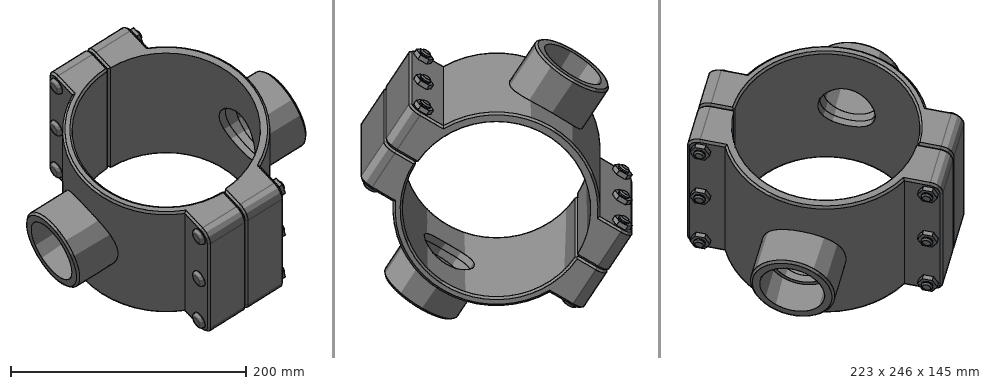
import cadquery as cq
import math

clamp_height = 145.0
bore_radius = 80.0
shell_radius = 88.0
edge_chamfer = 2.0

flange_width = 223.0
flange_depth = 40.3
flange_corner_radius = 11.0

branch_reach = 123.0
branch_diameter = 73.5
socket_diameter = 56.5
port_diameter = 50.0
socket_floor = 93.5
seat_depth = 1.7
seat_radius = shell_radius - seat_depth

bolt_x = 99.5
bolt_row_pitch = 60.8
head_diameter = 15.0
head_height = 3.7
head_rounding = 3.0
bolt_diameter = 10.0
bolt_end_height = 7.1
bolt_end_chamfer = 1.5
nut_across_flats = 15.0
nut_across_corners = nut_across_flats / math.cos(math.radians(30))
nut_height = 4.5


def plane_facing_out(distance):
    """Work plane at Y = -distance whose normal points along -Y."""
    return cq.Workplane("XZ", origin=(0, -distance, 0))


def disc(diameter, start, end):
    """Cylinder along Y between two distances from the mating plane, on the -Y side."""
    return plane_facing_out(start).circle(diameter / 2).extrude(end - start)


def upright_cylinder(radius):
    """Cylinder along Z over the full clamp height."""
    return cq.Workplane("XY").circle(radius).extrude(clamp_height / 2, both=True)


def turned(body, angle):
    """Turn a body about Z; 180 degrees takes it from the -Y side to the +Y side."""
    return body.rotate((0, 0, 0), (0, 0, 1), angle)



def branch_blank():
    """Solid branch tube, ending inward on its curved seat in the shell."""
    tube = disc(branch_diameter, 0, branch_reach).faces("<Y").chamfer(edge_chamfer)
    return tube.cut(upright_cylinder(seat_radius))


def branch_socket():
    """Branch tube with a through port and a wider pipe socket at its outer end."""
    return (
        branch_blank()
        .cut(disc(port_diameter, 0, branch_reach))
        .cut(disc(socket_diameter, socket_floor, branch_reach))
    )



def half_cylinder():
    """Outer wall on the -Y side, with chamfered rims."""
    cylinder = upright_cylinder(shell_radius).edges("%CIRCLE").chamfer(edge_chamfer)
    outer_side = plane_facing_out(0).rect(flange_width, clamp_height).extrude(shell_radius)
    return cylinder.intersect(outer_side)


def flange_plate():
    """Rounded plate holding both flanges, chamfered on its outer face."""
    return (
        plane_facing_out(0)
        .rect(flange_width, clamp_height)
        .extrude(flange_depth)
        .edges("|Y")
        .fillet(flange_corner_radius)
        .faces("<Y")
        .chamfer(edge_chamfer)
    )


def shell_half():
    """Half shell with two flanges, chamfered mating faces, a port and a branch seat."""
    return (
        half_cylinder()
        .union(flange_plate())
        .cut(upright_cylinder(bore_radius))
        .faces(">Y")
        .chamfer(edge_chamfer)
        .cut(disc(port_diameter, 0, branch_reach))
        .cut(branch_blank())
    )


def chamfer_bore_rims(half):
    """Chamfer the top and bottom rims of the half's bore."""
    rims = half.faces("|Z").edges(cq.selectors.RadiusNthSelector(0))
    return rims.chamfer(edge_chamfer)


def bolt_head():
    """Rounded bolt head standing on the outer face of a flange."""
    head = disc(head_diameter, flange_depth, flange_depth + head_height)
    return head.faces("<Y").edges().fillet(head_rounding)


def nut_with_bolt_end():
    """Hexagon nut with the bolt's chamfered end standing out of it."""
    nut = plane_facing_out(flange_depth).polygon(6, nut_across_corners).extrude(nut_height)
    bolt_end = disc(bolt_diameter, flange_depth, flange_depth + bolt_end_height)
    return nut.union(bolt_end.faces("<Y").chamfer(bolt_end_chamfer))


def with_fasteners(half, fastener):
    """Add one fastener at each of the six bolt positions."""
    for side in (-1, 1):
        for row in (-1, 0, 1):
            half = half.union(fastener.translate((side * bolt_x, 0, row * bolt_row_pitch)))
    return half


def bolted_clamp():
    """Both half shells in one solid, with bolt heads at -Y and nuts at +Y."""
    head_half = with_fasteners(chamfer_bore_rims(shell_half()), bolt_head())
    nut_half = with_fasteners(shell_half(), nut_with_bolt_end())
    return head_half.union(turned(nut_half, 180))


clamp = bolted_clamp()

branch_sockets = []
for turn in (0, 180):
    branch_sockets.append(turned(branch_socket(), turn).val())

result = cq.Compound.makeCompound([clamp.val(), *branch_sockets])